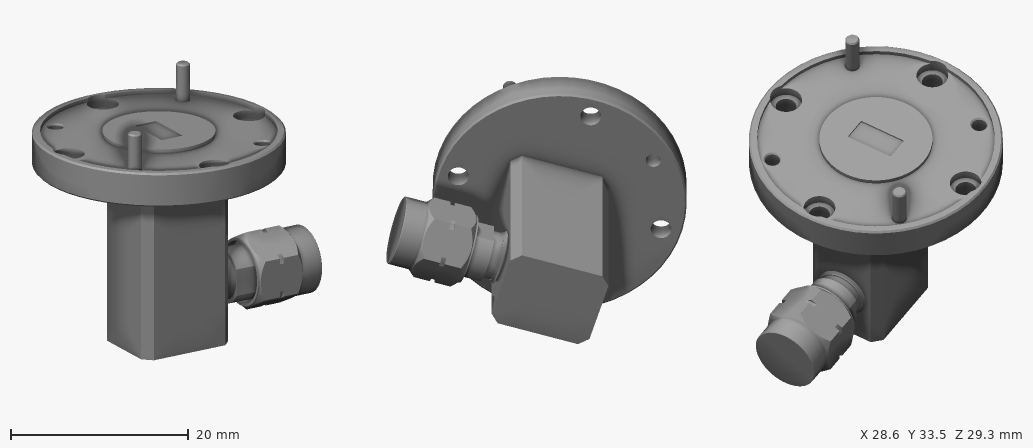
import cadquery as cq
import math


flange_diameter = 28.57
flange_thickness = 4.02
flange_chamfer = 0.2
recess_radius = 13.35
recess_depth = 0.5
boss_radius = 6.35
window_width = 5.7
window_height = 2.85
window_depth = 0.2
window_corner_radius = 0.15
flange_radius = flange_diameter / 2
recess_floor = flange_thickness - recess_depth

pitch_radius = 11.92
screw_hole_diameter = 2.35
counterbore_diameter = 3.6
counterbore_depth = 1.07
guide_hole_diameter = 1.7
guide_hole_chamfer = 0.17

block_width = 9.38
block_front = -4.62
block_back = 6.9
block_length = 21.33
block_chamfer = 1.05

pin_diameter = 1.57
pin_protrusion = 3.92
pin_top_chamfer_width = 0.15
pin_top_chamfer_height = 0.17
pin_hole_chamfer = 0.1

connector_z = -14.97
undercut_length = 0.15
collar_length = 0.2
shoulder_length = 0.2
neck_length = 1.1
shank_length = 2.2
nut_rim_length = 0.17
hex_length = 5.73
overall_depth = 33.5

shoulder_radius = 2.8
collar_radius = 3.05
neck_radius = 2.68
shank_radius = 3.18
shank_flats = 5.53
hex_across_flats = 8.0
sleeve_radius = 3.92
nut_rim_radius = 3.92
sleeve_chamfer = 0.07
nut_bore_radius = 3.62
nut_bore_depth = 1.0
nut_groove_radius = 4.32
nut_groove_width = 0.55

corner_to_flat_angle = 30
hex_corner_radius = hex_across_flats / 2 / math.cos(math.radians(corner_to_flat_angle))
hex_bevel = hex_corner_radius - sleeve_radius

connector_end = overall_depth - flange_radius
undercut_end = block_back + undercut_length
collar_end = undercut_end + collar_length
shoulder_end = collar_end + shoulder_length
neck_end = shoulder_end + neck_length
shank_end = neck_end + shank_length
nut_rim_end = shank_end + nut_rim_length
hex_end = nut_rim_end + hex_length


def pitch_points(angles):
    """Points on the pitch circle at the given angles in degrees."""
    return [
        (pitch_radius * math.cos(math.radians(a)), pitch_radius * math.sin(math.radians(a)))
        for a in angles
    ]


screw_points = pitch_points([0, 90, 180, 270])
guide_hole_points = pitch_points([45, 225])
pin_points = pitch_points([135, 315])


def cylinder_z(radius, bottom, top, points=((0, 0),)):
    """Vertical cylinders between two heights, one at each point."""
    return cq.Workplane("XY", origin=(0, 0, bottom)).pushPoints(points).circle(radius).extrude(top - bottom)


def countersunk_holes(points, diameter, chamfer):
    """Cutters for through holes whose mouths are chamfered at the recess floor."""
    radius = diameter / 2
    profile = [
        (0, 0),
        (radius, 0),
        (radius, recess_floor - chamfer),
        (radius + chamfer, recess_floor),
        (0, recess_floor),
    ]
    cutter = cq.Workplane("XZ").polyline(profile).close().revolve(360, (0, 0, 0), (0, 1, 0))
    cutters = cq.Workplane("XY")
    for x, y in points:
        cutters = cutters.add(cutter.translate((x, y, 0)))
    return cutters.combine()


def make_flange():
    flange = cylinder_z(flange_radius, 0, flange_thickness).edges().chamfer(flange_chamfer)
    recess = cylinder_z(recess_radius, recess_floor, flange_thickness)
    boss = cylinder_z(boss_radius, recess_floor, flange_thickness)
    window = (
        cq.Workplane("XY", origin=(0, 0, flange_thickness - window_depth))
        .rect(window_width, window_height)
        .extrude(window_depth)
        .edges("|Z")
        .fillet(window_corner_radius)
    )
    return flange.cut(recess.cut(boss)).cut(window)


def make_block():
    return (
        cq.Workplane("XY", origin=(0, (block_front + block_back) / 2, 0))
        .rect(block_width, block_back - block_front)
        .extrude(-block_length)
        .edges("|Z")
        .chamfer(block_chamfer)
    )


def make_housing():
    screw_holes = cylinder_z(screw_hole_diameter / 2, 0, flange_thickness, screw_points)
    counterbores = cylinder_z(
        counterbore_diameter / 2, recess_floor - counterbore_depth, flange_thickness, screw_points
    )
    return (
        make_flange()
        .union(make_block())
        .cut(screw_holes)
        .cut(counterbores)
        .cut(countersunk_holes(guide_hole_points, guide_hole_diameter, guide_hole_chamfer))
        .cut(countersunk_holes(pin_points, pin_diameter, pin_hole_chamfer))
    )


def make_pin(x, y):
    """Guide pin filling its hole down to the flange underside, with a tapered tip."""
    radius = pin_diameter / 2
    top = flange_thickness + pin_protrusion
    pin = cylinder_z(radius, 0, top, [(x, y)])
    return pin.faces(">Z").chamfer(pin_top_chamfer_height, pin_top_chamfer_width)


def revolve_about_connector(profile):
    """Revolve (radius, Y) points about the connector axis."""
    return (
        cq.Workplane("XY", origin=(0, 0, connector_z))
        .polyline(profile)
        .close()
        .revolve(360, (0, 0, 0), (0, 1, 0))
    )


def plane_across_connector(y):
    """Workplane square to the connector axis at the given Y; it extrudes toward -Y."""
    return cq.Workplane("XZ", origin=(0, y, connector_z))


def connector_cylinder(radius, start, end):
    """Cylinder on the connector axis between two Y stations."""
    return plane_across_connector(end).circle(radius).extrude(end - start)


def make_base():
    """Round neck with its flared collar against the block."""
    return revolve_about_connector([
        (0, block_back),
        (shoulder_radius, block_back),
        (shoulder_radius, undercut_end),
        (collar_radius, undercut_end),
        (shoulder_radius, collar_end),
        (shoulder_radius, shoulder_end),
        (neck_radius, shoulder_end),
        (neck_radius, neck_end),
        (0, neck_end),
    ])


def make_shank():
    """Round shank with two wrench flats, reaching the floor of the nut bore."""
    shank_tip = shank_end + nut_bore_depth
    flats = (
        plane_across_connector(shank_tip)
        .rect(shank_flats, 2 * shank_radius)
        .extrude(shank_tip - neck_end)
    )
    return connector_cylinder(shank_radius, neck_end, shank_tip).intersect(flats)


def make_nut():
    """Coupling nut: hexagon with bevelled corners and a corner groove, rim, sleeve and rear bore."""
    hexagon = (
        plane_across_connector(hex_end)
        .transformed(rotate=(0, 0, corner_to_flat_angle))
        .polygon(6, 2 * hex_corner_radius)
        .extrude(hex_length)
    )
    bevels = revolve_about_connector([
        (0, nut_rim_end),
        (nut_rim_radius, nut_rim_end),
        (hex_corner_radius, nut_rim_end + hex_bevel),
        (hex_corner_radius, hex_end - hex_bevel),
        (sleeve_radius, hex_end),
        (0, hex_end),
    ])
    groove_start = (nut_rim_end + hex_end - nut_groove_width) / 2
    groove_end = groove_start + nut_groove_width
    groove = revolve_about_connector([
        (nut_groove_radius, groove_start),
        (hex_corner_radius, groove_start),
        (hex_corner_radius, groove_end),
        (nut_groove_radius, groove_end),
    ])
    rim = connector_cylinder(nut_rim_radius, shank_end, nut_rim_end)
    sleeve = connector_cylinder(sleeve_radius, hex_end, connector_end).faces(">Y").chamfer(sleeve_chamfer)
    bore = connector_cylinder(nut_bore_radius, shank_end, shank_end + nut_bore_depth)
    return hexagon.intersect(bevels).cut(groove).union(rim).union(sleeve).cut(bore)


def make_connector():
    return make_base().union(make_shank()).union(make_nut())


housing = make_housing()
pins = [make_pin(x, y) for x, y in pin_points]
connector = make_connector()

result = cq.Compound.makeCompound([housing.val(), *[pin.val() for pin in pins], connector.val()])